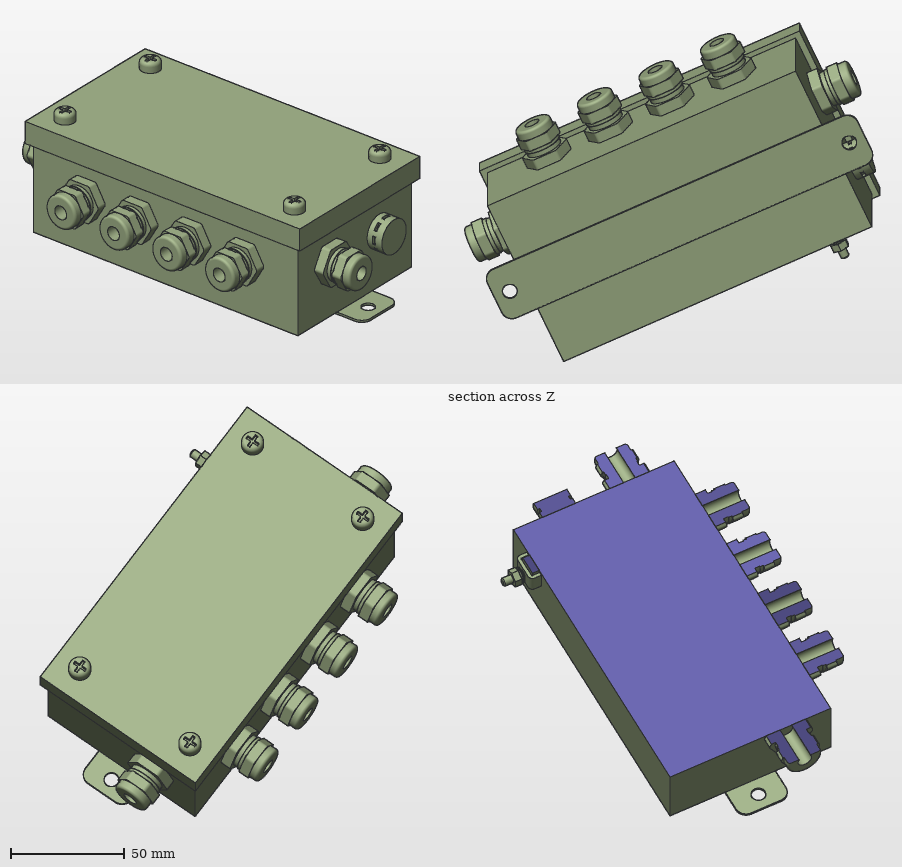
import cadquery as cq
import math

box_length = 150.0
box_width = 80.2
box_height = 44.8
lid_length = 155.7
lid_width = 84.6
lid_height = 11.2

plate_length = 180.0
plate_width = 25.0
plate_thickness = 1.1
plate_corner_radius = 5.0
plate_hole_diameter = 6.5
plate_hole_spacing = 165.2

screw_spacing_x = 130.0
screw_spacing_y = 60.0
screw_head_diameter = 9.9
screw_head_height = 5.0
screw_head_rounding = 2.0
cross_length = 6.1
cross_width = 1.3
cross_depth = 1.9

box_top = plate_thickness + box_height
lid_top = box_top + lid_height
box_end = box_length / 2
box_side = box_width / 2

gland_axis_height = 29.2
front_gland_count = 4
front_gland_pitch = 30.0
end_gland_y = -17.7
length_over_glands = 186.0
gland_length = length_over_glands / 2 - box_end
base_hex_flats = 19.0
base_hex_end = 5.0
neck_diameter = 16.0
neck_end = 7.3
cap_diameter = 16.7
cap_rounding = 1.3
cap_hex_flats = 17.0
cap_hex_start = 9.0
cap_hex_end = 14.0
hex_corner_radius = 1.7
cable_hole_diameter = 6.7

vent_y = 17.3
vent_diameter = 17.1
vent_length = 8.4
vent_slot_count = 8
vent_slot_width = 3.9
vent_slot_depth = 1.3
vent_slot_start = 3.0
vent_slot_end = 4.5

terminal_x = 54.9
terminal_z = 26.2
strap_length = 14.0
strap_height = 8.4
strap_depth = 5.5
strap_thickness = 1.7
strap_corner_radius = 2.2
pad_height = 10.0
pad_clearance = 0.5
stud_diameter = 3.9
stud_length = 15.8
stud_chamfer = 0.5
washer_diameter = 7.5
washer_start = 6.5
washer_end = 6.9
spring_washer_diameter = 5.5
nut_flats = 7.0
nut_start = 7.8
nut_end = 11.2


def cylinder(diameter, start, end):
    """Cylinder about local Z between two stations."""
    return cq.Workplane("XY").workplane(offset=start).circle(diameter / 2).extrude(end - start)


def hexagon(flats, start, end):
    """Hexagonal prism about local Z with two of its corners on local X."""
    corners = flats / math.cos(math.pi / 6)
    return cq.Workplane("XY").workplane(offset=start).polygon(6, corners).extrude(end - start)


def placed(body, origin, x_direction, normal):
    """Body moved so that its local Z points along the normal from the origin."""
    return body.val().moved(cq.Location(cq.Plane(origin, x_direction, normal)))


def make_mounting_plate():
    plate = cq.Workplane("XY").box(plate_length, plate_width, plate_thickness, centered=(True, True, False))
    plate = plate.edges("|Z").fillet(plate_corner_radius)
    hole_centres = [(-plate_hole_spacing / 2, 0), (plate_hole_spacing / 2, 0)]
    return plate.faces(">Z").workplane(origin=(0, 0, 0)).pushPoints(hole_centres).hole(plate_hole_diameter)


def make_screw_head():
    head = cylinder(screw_head_diameter, 0, screw_head_height)
    head = head.faces(">Z").edges().fillet(screw_head_rounding)
    cross_floor = cq.Workplane("XY").workplane(offset=screw_head_height - cross_depth)
    for length, width in [(cross_length, cross_width), (cross_width, cross_length)]:
        head = head.cut(cross_floor.rect(length, width).extrude(cross_depth))
    return head


def make_enclosure():
    box = cq.Workplane("XY").workplane(offset=plate_thickness).rect(box_length, box_width).extrude(box_height)
    lid = cq.Workplane("XY").workplane(offset=box_top).rect(lid_length, lid_width).extrude(lid_height)
    enclosure = make_mounting_plate().union(box).union(lid)
    for x in (-screw_spacing_x / 2, screw_spacing_x / 2):
        for y in (-screw_spacing_y / 2, screw_spacing_y / 2):
            enclosure = enclosure.union(make_screw_head().translate((x, y, lid_top)))
    return enclosure


def make_gland():
    """Cable gland standing on local Z = 0."""
    base_hex = hexagon(base_hex_flats, 0, base_hex_end).edges("|Z").fillet(hex_corner_radius)
    neck = cylinder(neck_diameter, base_hex_end, neck_end)
    cap = cylinder(cap_diameter, neck_end, gland_length).faces(">Z").edges().fillet(cap_rounding)
    cap_hex = hexagon(cap_hex_flats, cap_hex_start, cap_hex_end).edges("|Z").fillet(hex_corner_radius)
    gland = base_hex.union(neck).union(cap).union(cap_hex)
    return gland.cut(cylinder(cable_hole_diameter, 0, gland_length))


def make_all_glands():
    glands = []
    for index in range(front_gland_count):
        x = (index - (front_gland_count - 1) / 2) * front_gland_pitch
        glands.append(placed(make_gland(), (x, -box_side, gland_axis_height), (1, 0, 0), (0, -1, 0)))
    for side in (-1, 1):
        origin = (side * box_end, end_gland_y, gland_axis_height)
        glands.append(placed(make_gland(), origin, (0, 1, 0), (side, 0, 0)))
    return glands


def make_vent_plug():
    """Round plug with a ring of small openings in its rim."""
    plug = cylinder(vent_diameter, 0, vent_length)
    slot = (
        cq.Workplane("XY")
        .box(2 * vent_slot_depth, vent_slot_width, vent_slot_end - vent_slot_start, centered=(True, True, False))
        .translate((vent_diameter / 2, 0, vent_slot_start))
    )
    for index in range(vent_slot_count):
        plug = plug.cut(slot.rotate((0, 0, 0), (0, 0, 1), index * 360 / vent_slot_count))
    return placed(plug, (box_end, vent_y, gland_axis_height), (0, 1, 0), (1, 0, 0))


def make_earth_terminal():
    """Strap bridging a pad, with a stud, washers and nut. Local X is up and local Y runs along the wall."""
    strap = cq.Workplane("XY").rect(strap_height, strap_length).extrude(strap_depth)
    strap = strap.edges("|X and >Z").fillet(strap_corner_radius)
    opening_length = strap_length - 2 * strap_thickness
    opening_depth = strap_depth - strap_thickness
    strap = strap.cut(cq.Workplane("XY").rect(strap_height, opening_length).extrude(opening_depth))
    pad_length = opening_length - 2 * pad_clearance
    pad_depth = opening_depth - pad_clearance
    pad = cq.Workplane("XY").rect(pad_height, pad_length).extrude(pad_depth)
    stud = cylinder(stud_diameter, 0, stud_length).faces(">Z").chamfer(stud_chamfer)
    washer = cylinder(washer_diameter, washer_start, washer_end)
    spring_washer = cylinder(spring_washer_diameter, washer_end, nut_start)
    nut = hexagon(nut_flats, nut_start, nut_end)
    terminal = strap.union(stud).union(pad).union(washer).union(spring_washer).union(nut)
    return placed(terminal, (terminal_x, box_side, terminal_z), (0, 0, 1), (0, 1, 0))


enclosure = make_enclosure()
glands = make_all_glands()
vent_plug = make_vent_plug()
earth_terminal = make_earth_terminal()

result = cq.Compound.makeCompound([enclosure.val(), *glands, vent_plug, earth_terminal])